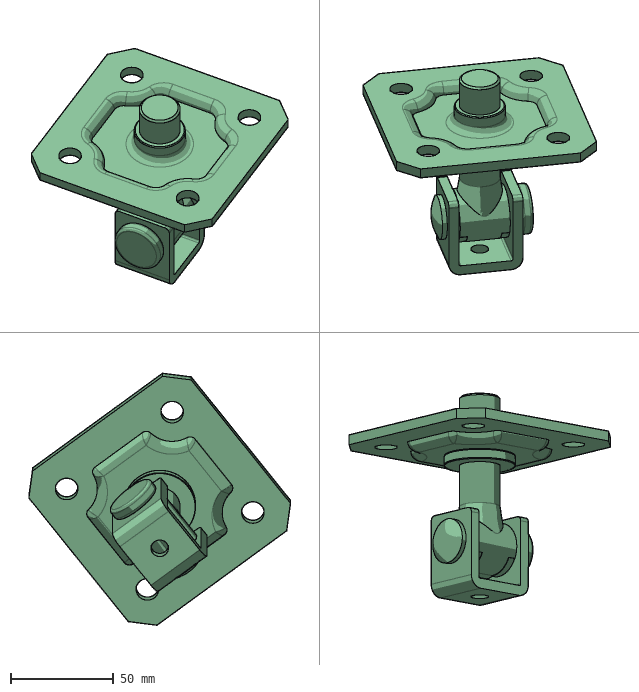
import cadquery as cq
import math

TOTAL_HEIGHT = 100.0
STUD_TOP = 19.5
BRACKET_BOTTOM = STUD_TOP - TOTAL_HEIGHT
PIN_ABOVE_BOTTOM = 25.0
PIN_Z = BRACKET_BOTTOM + PIN_ABOVE_BOTTOM

PLATE_SIZE = 100.0
PLATE_THICKNESS = 5.0
PLATE_CORNER_CUT = 10.0
BOLT_HOLE_DIAMETER = 11.0
BOLT_HOLE_PITCH = 65.0
DISH_DEPTH = 5.0
DISH_FLOOR_TOP = -DISH_DEPTH
DISH_FLOOR_BOTTOM = DISH_FLOOR_TOP - PLATE_THICKNESS
RIM_HALF_WIDTH = 36.0
RIM_BEND_RADIUS = 10.0
RIM_CLEARANCE_RADIUS = 12.0
RIM_RADIUS = 5.0
SKIRT_INSET = 3.0
SKIRT_HALF_WIDTH = RIM_HALF_WIDTH - SKIRT_INSET
SKIRT_BEND_RADIUS = 3.0
SKIRT_CLEARANCE_RADIUS = RIM_CLEARANCE_RADIUS + SKIRT_INSET
COLLAR_RADIUS = 12.5
COLLAR_TOP = 4.5
COLLAR_CHAMFER = 0.5
COLLAR_FILLET = 4.0

RING_RADIUS = 17.5
RING_THICKNESS = 5.0
RING_CHAMFER_RADIAL = 0.2
RING_CHAMFER_HEIGHT = 0.5

STUD_RADIUS = 10.0
STUD_CHAMFER = 1.0
EYE_RADIUS = 13.25
EYE_LENGTH = 25.0
NECK_TOP = PIN_Z + 20.0
NECK_BOTTOM = PIN_Z + 4.0
NECK_BOTTOM_RADIUS = 12.5
LUG_WIDTH = 17.2
LUG_CORNER_X = 4.0
LUG_DROP = 14.25
EYE_RELIEF_RADIUS = 13.1
EYE_RELIEF_DROP = 6.0

BRACKET_WIDTH = 30.0
BRACKET_HEIGHT = 40.0
BRACKET_THICKNESS = 5.0
BRACKET_INNER_SPAN = 27.0
BRACKET_OUTER_SPAN = BRACKET_INNER_SPAN + 2 * BRACKET_THICKNESS
BRACKET_INNER_BEND = 1.0
BRACKET_OUTER_BEND = BRACKET_INNER_BEND + BRACKET_THICKNESS
BRACKET_TOP_RADIUS = 2.5
DRAIN_HOLE_DIAMETER = 8.5

PIN_RADIUS = 7.0
HEAD_RADIUS = 12.5
HEAD_THICKNESS = 6.0
HEAD_FILLET = 1.5
CAP_RADIUS = 11.0
CAP_RIM = 2.4
CAP_DOME = 3.1


DOWN_DIAGONAL = (-math.sqrt(0.5), -math.sqrt(0.5))


def polar(center, radius, direction):
    """Point at a distance from a center, along a unit direction."""
    return (center[0] + radius * direction[0], center[1] + radius * direction[1])


def dish_prism(half_width, bend_radius, clearance_radius):
    """Prism from the dish underside to the plate top, bent inward around each bolt hole."""
    hole = BOLT_HOLE_PITCH / 2
    bend_far = half_width - bend_radius
    center_distance = bend_radius + clearance_radius
    bend_near = hole - math.sqrt(center_distance**2 - (hole - bend_far) ** 2)

    toward_hole = ((hole - bend_far) / center_distance, (hole - bend_near) / center_distance)
    half_angle = math.atan2(toward_hole[1], toward_hole[0]) / 2
    bend_middle = (math.cos(half_angle), math.sin(half_angle))

    first_bend = (bend_far, bend_near)
    second_bend = (bend_near, bend_far)
    quarter = [
        (half_width, bend_near),
        polar(first_bend, bend_radius, bend_middle),
        polar(first_bend, bend_radius, toward_hole),
        polar((hole, hole), clearance_radius, DOWN_DIAGONAL),
        polar(second_bend, bend_radius, toward_hole[::-1]),
        polar(second_bend, bend_radius, bend_middle[::-1]),
        (bend_near, half_width),
    ]

    outline = cq.Workplane("XY", origin=(0, 0, DISH_FLOOR_BOTTOM)).moveTo(half_width, -bend_near)
    for _ in range(4):
        outline = outline.lineTo(*quarter[0])
        for middle, end in zip(quarter[1::2], quarter[2::2]):
            outline = outline.threePointArc(middle, end)
        quarter = [(-y, x) for x, y in quarter]
    return outline.close().extrude(-DISH_FLOOR_BOTTOM)


def plate_blank(bottom):
    """Square block with cut corners, from a given height up to the plate top."""
    return (
        cq.Workplane("XY", origin=(0, 0, bottom))
        .rect(PLATE_SIZE, PLATE_SIZE)
        .extrude(-bottom)
        .edges("|Z")
        .chamfer(PLATE_CORNER_CUT)
    )


def make_collar():
    """Collar revolved about Z, with a fillet where it meets the dish floor."""
    foot = COLLAR_RADIUS + COLLAR_FILLET
    fillet_top = DISH_FLOOR_TOP + COLLAR_FILLET
    fillet_middle = polar((foot, fillet_top), COLLAR_FILLET, DOWN_DIAGONAL)
    return (
        cq.Workplane("XZ")
        .moveTo(0, DISH_FLOOR_BOTTOM)
        .lineTo(foot, DISH_FLOOR_BOTTOM)
        .lineTo(foot, DISH_FLOOR_TOP)
        .threePointArc(fillet_middle, (COLLAR_RADIUS, fillet_top))
        .lineTo(COLLAR_RADIUS, COLLAR_TOP - COLLAR_CHAMFER)
        .lineTo(COLLAR_RADIUS - COLLAR_CHAMFER, COLLAR_TOP)
        .lineTo(0, COLLAR_TOP)
        .close()
        .revolve(360, (0, 0, 0), (0, 1, 0))
    )


def make_plate():
    dish = dish_prism(SKIRT_HALF_WIDTH, SKIRT_BEND_RADIUS, SKIRT_CLEARANCE_RADIUS)
    dish = dish.faces("<Z").edges().fillet(RIM_RADIUS)

    opening = dish_prism(
        RIM_HALF_WIDTH - RIM_RADIUS,
        RIM_BEND_RADIUS - RIM_RADIUS,
        RIM_CLEARANCE_RADIUS + RIM_RADIUS,
    )
    inner_edges = cq.selectors.BoxSelector(
        (-RIM_HALF_WIDTH, -RIM_HALF_WIDTH, -RIM_RADIUS),
        (RIM_HALF_WIDTH, RIM_HALF_WIDTH, RIM_RADIUS),
    )
    surround = plate_blank(DISH_FLOOR_BOTTOM).cut(opening)
    surround = surround.faces(">Z").edges(inner_edges).fillet(RIM_RADIUS)
    recess = plate_blank(DISH_FLOOR_TOP).cut(surround)

    bolt_holes = (
        cq.Workplane("XY", origin=(0, 0, -PLATE_THICKNESS))
        .rect(BOLT_HOLE_PITCH, BOLT_HOLE_PITCH, forConstruction=True)
        .vertices()
        .circle(BOLT_HOLE_DIAMETER / 2)
        .extrude(PLATE_THICKNESS)
    )
    bore = (
        cq.Workplane("XY", origin=(0, 0, DISH_FLOOR_BOTTOM))
        .circle(STUD_RADIUS)
        .extrude(COLLAR_TOP - DISH_FLOOR_BOTTOM)
    )
    plate = plate_blank(-PLATE_THICKNESS).union(dish).cut(recess)
    return plate.union(make_collar()).cut(bolt_holes).cut(bore)


def make_ring():
    base = cq.Workplane("XY", origin=(0, 0, DISH_FLOOR_BOTTOM - RING_THICKNESS))
    disc = base.circle(RING_RADIUS).extrude(RING_THICKNESS)
    disc = disc.edges().chamfer(RING_CHAMFER_HEIGHT, RING_CHAMFER_RADIAL)
    return disc.cut(base.circle(STUD_RADIUS).extrude(RING_THICKNESS))


def pin_cylinder(radius, start_y, end_y):
    """Cylinder on the pin axis between two Y positions."""
    return (
        cq.Workplane("XZ", origin=(0, start_y, PIN_Z))
        .circle(radius)
        .extrude(start_y - end_y)
    )


def make_stud():
    shank = (
        cq.Workplane("XZ")
        .moveTo(0, NECK_BOTTOM)
        .lineTo(NECK_BOTTOM_RADIUS, NECK_BOTTOM)
        .lineTo(STUD_RADIUS, NECK_TOP)
        .lineTo(STUD_RADIUS, STUD_TOP - STUD_CHAMFER)
        .lineTo(STUD_RADIUS - STUD_CHAMFER, STUD_TOP)
        .lineTo(0, STUD_TOP)
        .close()
        .revolve(360, (0, 0, 0), (0, 1, 0))
    )
    eye = pin_cylinder(EYE_RADIUS, EYE_LENGTH / 2, -EYE_LENGTH / 2)

    relief_height = EYE_RADIUS - EYE_RELIEF_DROP
    relief = (
        cq.Workplane("XY")
        .box(2 * EYE_RADIUS, EYE_LENGTH, relief_height)
        .translate((0, 0, PIN_Z - EYE_RELIEF_DROP - relief_height / 2))
        .cut(pin_cylinder(EYE_RELIEF_RADIUS, EYE_LENGTH / 2, -EYE_LENGTH / 2))
    )
    middle = cq.Workplane("XY").box(2 * EYE_RADIUS, LUG_WIDTH, 2 * EYE_RADIUS).translate((0, 0, PIN_Z))
    eye = eye.cut(relief.cut(middle))

    lug = (
        cq.Workplane("XZ", origin=(0, LUG_WIDTH / 2, PIN_Z))
        .polyline([
            (0, -EYE_RADIUS),
            (LUG_CORNER_X, -LUG_DROP),
            (LUG_CORNER_X, -PIN_RADIUS),
            (0, -PIN_RADIUS),
        ])
        .close()
        .extrude(LUG_WIDTH)
    )
    bore = pin_cylinder(PIN_RADIUS, EYE_LENGTH / 2, -EYE_LENGTH / 2)
    return shank.union(eye).union(lug).cut(bore)


def make_bracket():
    cavity_height = BRACKET_HEIGHT - BRACKET_THICKNESS
    outer = (
        cq.Workplane("XY", origin=(0, 0, BRACKET_BOTTOM))
        .rect(BRACKET_WIDTH, BRACKET_OUTER_SPAN)
        .extrude(BRACKET_HEIGHT)
        .faces("<Z").edges("|X").fillet(BRACKET_OUTER_BEND)
        .faces(">Z").edges("|Y").fillet(BRACKET_TOP_RADIUS)
    )
    cavity = (
        cq.Workplane("XY", origin=(0, 0, BRACKET_BOTTOM + BRACKET_THICKNESS))
        .rect(BRACKET_WIDTH, BRACKET_INNER_SPAN)
        .extrude(cavity_height)
        .faces("<Z").edges("|X").fillet(BRACKET_INNER_BEND)
    )
    drain_hole = (
        cq.Workplane("XY", origin=(0, 0, BRACKET_BOTTOM))
        .circle(DRAIN_HOLE_DIAMETER / 2)
        .extrude(BRACKET_THICKNESS)
    )
    pin_holes = pin_cylinder(PIN_RADIUS, BRACKET_OUTER_SPAN / 2, -BRACKET_OUTER_SPAN / 2)
    return outer.cut(cavity).cut(drain_hole).cut(pin_holes)


def make_pin():
    face = BRACKET_OUTER_SPAN / 2
    shaft = pin_cylinder(PIN_RADIUS, face, -face)
    head = pin_cylinder(HEAD_RADIUS, -face, -face - HEAD_THICKNESS).edges().fillet(HEAD_FILLET)

    dome_radius = (CAP_RADIUS**2 + CAP_DOME**2) / (2 * CAP_DOME)
    rim_end = face + CAP_RIM
    dome_center = rim_end + CAP_DOME - dome_radius
    half_radius = CAP_RADIUS / 2
    dome_middle = (half_radius, dome_center + math.sqrt(dome_radius**2 - half_radius**2))
    cap = (
        cq.Workplane("XY", origin=(0, 0, PIN_Z))
        .moveTo(0, face)
        .lineTo(CAP_RADIUS, face)
        .lineTo(CAP_RADIUS, rim_end)
        .threePointArc(dome_middle, (0, rim_end + CAP_DOME))
        .close()
        .revolve(360, (0, 0, 0), (0, 1, 0))
    )
    return shaft.union(head).union(cap)


plate = make_plate()
ring = make_ring()
stud = make_stud()
bracket = make_bracket()
pin = make_pin()

result = cq.Compound.makeCompound([plate.val(), ring.val(), stud.val(), bracket.val(), pin.val()])